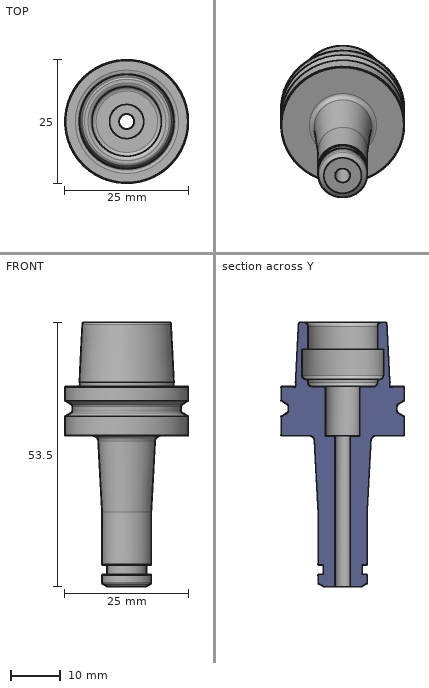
import cadquery as cq
import math

total_height = 53.5
flange_bottom = 30.5
flange_height = 10.0
flange_top = flange_bottom + flange_height

taper_ratio = 0.1
taper_base_radius = 9.6
taper_base = flange_top + 0.85
taper_top_radius = taper_base_radius - taper_ratio / 2 * (total_height - taper_base)
rim_rounding = 0.45
relief_radius = 19.05 / 2
relief_chamfer = taper_base_radius - relief_radius
face_recess_radius = 10.45
face_recess_depth = 0.15
relief_fillet = 0.2

flange_radius = 25.0 / 2
flange_edge = 0.15
groove_floor_radius = 22.0 / 2
groove_angle = 60
groove_top = flange_bottom + 7.1
groove_bottom = flange_bottom + 3.95
groove_corner = 0.5
groove_drop = (flange_radius - groove_floor_radius) / math.tan(math.radians(groove_angle))

stem_radius = 10.0 / 2
stem_top_radius = 5.85
stem_cone_bottom = 15.15
stem_fillet = 1.0
edge_break = 0.15
neck_radius = 8.0 / 2
neck_top = 4.4
neck_bottom = 2.55
end_chamfer_height = 0.7
end_chamfer_angle = 60
end_radius = stem_radius - end_chamfer_height * math.tan(math.radians(end_chamfer_angle))
end_rounding = 0.4

mouth_radius = 14.0 / 2
mouth_rounding = 0.85
clamp_groove_radius = 16.4 / 2
clamp_groove_top = 48.0
clamp_groove_bottom = 41.95
clamp_groove_fillet = 0.85
cavity_floor = flange_top
cavity_corner = 0.8
middle_bore_radius = 6.9 / 2
middle_bore_bottom = flange_bottom
through_radius = 3.0 / 2


def revolve(points):
    """Solid of revolution about Z from (radius, height) points."""
    return cq.Workplane("XZ").polyline(points).close().revolve(360, (0, 0), (0, 1))


def cylinder(radius, bottom, top):
    return cq.Workplane("XY").workplane(offset=bottom).circle(radius).extrude(top - bottom)


def round_edge(solid, radius, height, size):
    """Fillet the circular edge of the given radius and height."""
    tolerance = 0.005
    at_height = cq.selectors.BoxSelector(
        (-radius - tolerance, -radius - tolerance, height - tolerance),
        (radius + tolerance, radius + tolerance, height + tolerance),
        boundingbox=True,
    )
    circles = solid.edges(at_height).edges("%CIRCLE").vals()
    rim = [circle for circle in circles if abs(circle.radius() - radius) < tolerance]
    return solid.newObject(rim).fillet(size)


def make_taper():
    taper = revolve([
        (0, flange_top - face_recess_depth),
        (relief_radius, flange_top - face_recess_depth),
        (relief_radius, taper_base - relief_chamfer),
        (taper_base_radius, taper_base),
        (taper_top_radius, total_height),
        (0, total_height),
    ])
    return round_edge(taper, taper_top_radius, total_height, rim_rounding)


def make_flange():
    flange = revolve([
        (0, flange_bottom),
        (flange_radius - flange_edge, flange_bottom),
        (flange_radius, flange_bottom + flange_edge),
        (flange_radius, groove_bottom),
        (groove_floor_radius, groove_bottom + groove_drop),
        (groove_floor_radius, groove_top - groove_drop),
        (flange_radius, groove_top),
        (flange_radius, flange_top - flange_edge),
        (flange_radius - flange_edge, flange_top),
        (face_recess_radius, flange_top),
        (relief_radius, flange_top - face_recess_depth),
        (0, flange_top - face_recess_depth),
    ])
    for height in (groove_bottom + groove_drop, groove_top - groove_drop):
        flange = round_edge(flange, groove_floor_radius, height, groove_corner)
    return flange


def make_stem():
    stem = revolve([
        (0, 0),
        (end_radius, 0),
        (stem_radius, end_chamfer_height),
        (stem_radius, neck_bottom - edge_break),
        (stem_radius - edge_break, neck_bottom),
        (neck_radius, neck_bottom),
        (neck_radius, neck_top),
        (stem_radius - edge_break, neck_top),
        (stem_radius, neck_top + edge_break),
        (stem_radius, stem_cone_bottom),
        (stem_top_radius, flange_bottom),
        (0, flange_bottom),
    ])
    return round_edge(stem, stem_radius, end_chamfer_height, end_rounding)


def make_cavity():
    """Everything removed along the axis."""
    mouth = cylinder(mouth_radius, cavity_floor, total_height)
    mouth = mouth.faces("<Z").edges().fillet(cavity_corner)
    clamp_groove = cylinder(clamp_groove_radius, clamp_groove_bottom, clamp_groove_top)
    clamp_groove = clamp_groove.faces("<Z").edges().fillet(clamp_groove_fillet)
    middle_bore = cylinder(middle_bore_radius, middle_bore_bottom, total_height)
    through_hole = cylinder(through_radius, 0, total_height)
    return mouth.union(clamp_groove).union(middle_bore).union(through_hole)


body = make_stem().union(make_flange())
body = round_edge(body, stem_top_radius, flange_bottom, stem_fillet)
body = body.union(make_taper())
body = round_edge(body, relief_radius, flange_top - face_recess_depth, relief_fillet)
body = body.cut(make_cavity())
result = round_edge(body, mouth_radius, total_height, mouth_rounding)